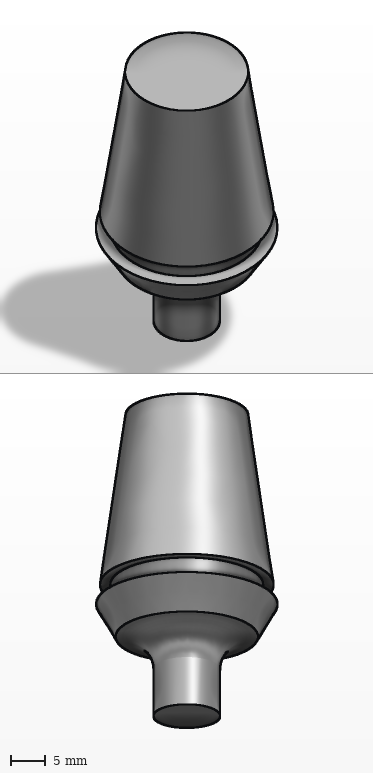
import cadquery as cq

stem_diameter = 9.6
collar_bottom_diameter = 20.45
collar_top_diameter = 26.1
neck_diameter = 22.0
cone_bottom_diameter = 25.0
cone_top_diameter = 17.7

total_height = 46.2
stem_height = 7.2
fillet_radius = 5.0
collar_height = 5.0
neck_height = 3.0

collar_bottom_z = stem_height + fillet_radius
collar_top_z = collar_bottom_z + collar_height
cone_bottom_z = collar_top_z + neck_height

stem_radius = stem_diameter / 2
neck_radius = neck_diameter / 2

fillet_inset = fillet_radius * (1 - 0.5**0.5)
fillet_middle = (stem_radius + fillet_inset, collar_bottom_z - fillet_inset)
fillet_end = (stem_radius + fillet_radius, collar_bottom_z)

profile = (
    cq.Workplane("XZ")
    .lineTo(stem_radius, 0)
    .lineTo(stem_radius, stem_height)
    .threePointArc(fillet_middle, fillet_end)
    .lineTo(collar_bottom_diameter / 2, collar_bottom_z)
    .lineTo(collar_top_diameter / 2, collar_top_z)
    .lineTo(neck_radius, collar_top_z)
    .lineTo(neck_radius, cone_bottom_z)
    .lineTo(cone_bottom_diameter / 2, cone_bottom_z)
    .lineTo(cone_top_diameter / 2, total_height)
    .lineTo(0, total_height)
    .close()
)

result = profile.revolve(360, (0, 0, 0), (0, 1, 0))